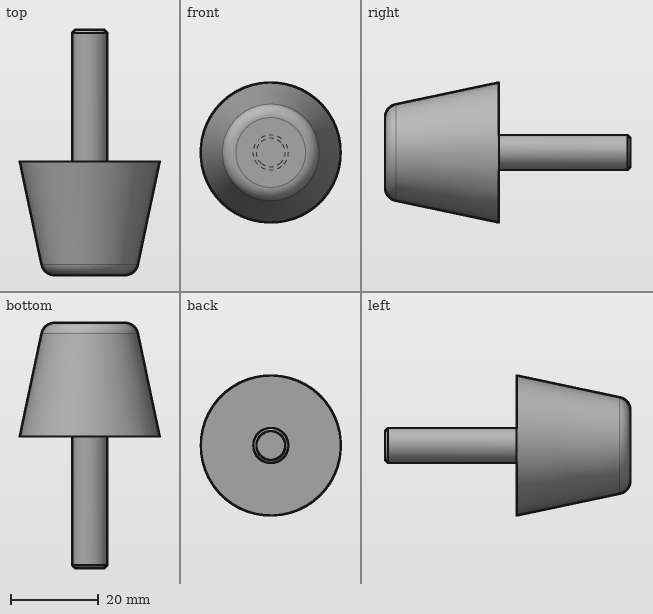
import cadquery as cq
import math

total_length = 56.0
bumper_length = 26.0
base_diameter = 32.0
shoulder_radius = 11.05
nose_length = 2.5
nose_flat_radius = 7.95
stud_diameter = 8.0
stud_chamfer = 0.7


def make_bumper():
    """Revolve the conical bumper, with its rounded nose at Y = 0."""
    arc_width = shoulder_radius - nose_flat_radius
    arc_radius = (arc_width**2 + nose_length**2) / (2 * nose_length)
    half_sweep = math.atan2(nose_length, arc_width)
    arc_middle = (
        nose_flat_radius + arc_radius * math.sin(half_sweep),
        arc_radius * (1 - math.cos(half_sweep)),
    )
    return (
        cq.Workplane("XY")
        .lineTo(nose_flat_radius, 0)
        .threePointArc(arc_middle, (shoulder_radius, nose_length))
        .lineTo(base_diameter / 2, bumper_length)
        .lineTo(0, bumper_length)
        .close()
        .revolve(360, (0, 0, 0), (0, 1, 0))
    )


def make_stud():
    """Build the stud standing on the bumper base, chamfered at its free end."""
    return (
        cq.Workplane("XZ", origin=(0, bumper_length, 0))
        .circle(stud_diameter / 2)
        .extrude(-(total_length - bumper_length))
        .faces(">Y")
        .chamfer(stud_chamfer)
    )


bumper = make_bumper()
stud = make_stud()
result = cq.Compound.makeCompound([bumper.val(), stud.val()])